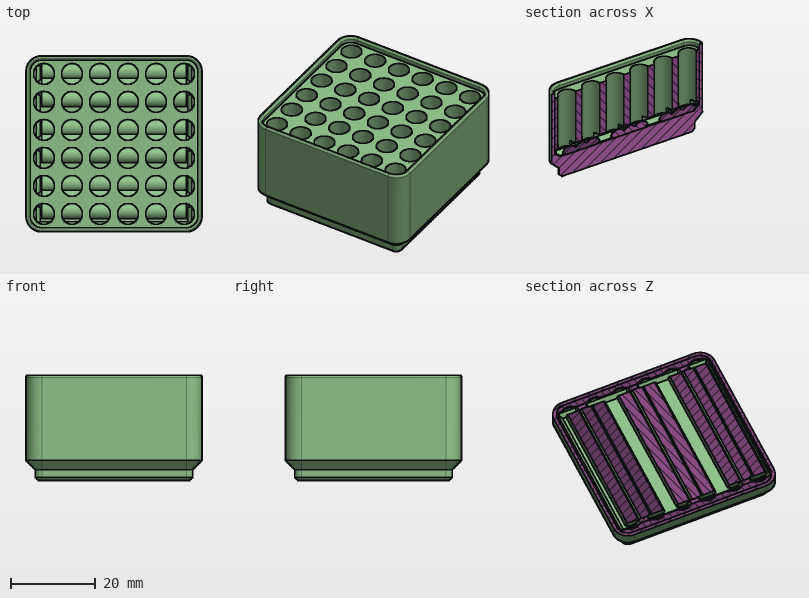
import cadquery as cq
import math

width = 41.5
height = 24.8
corner_radius = 3.75
foot_lower_chamfer = 0.8
foot_wall_height = 1.8
foot_upper_chamfer = 2.15
chamfer_angle = 45.0
foot_height = foot_lower_chamfer + foot_wall_height + foot_upper_chamfer

rim_thickness = 1.0
rim_round = 0.45
rim_depth = 1.5
seat_level = 7.0
seat_width = width - 2 * rim_thickness
seat_corner_radius = corner_radius - rim_thickness

tray_depth = 1.0
tray_floor_length = 34.7
tray_floor_width = 36.7
tray_top_length = tray_floor_length + 2 * tray_depth
tray_top_width = tray_floor_width + 2 * tray_depth
tray_floor_level = seat_level - tray_depth

hole_diameter = 4.9
hole_pitch = 6.6
holes_per_side = 6
relief_depth = 1.33
relief_corner_radius = 0.85
block_top = height - rim_depth

strip_count = holes_per_side // 2
strip_pitch = 2 * hole_pitch
strip_length = 34.1
crown_radius = 2.0
crown_axis_height = 0.1
back_crown_y = 3.8
front_crown_y = -2.57
ridge_y = 0.85
ridge_height = 2.25
back_outer_angle = 73.0
back_inner_angle = 53.0
front_inner_angle = 58.0
front_outer_angle = 56.0
front_skirt_run = 0.25
front_skirt_angle = 60.0

stop_foot_width = 3.65
stop_height = 1.83
stop_side_angle = 65.0


def rounded_square(size, radius, bottom, thickness):
    """Upright square block with rounded vertical edges."""
    block = cq.Workplane("XY").workplane(offset=bottom).rect(size, size).extrude(thickness)
    return block.edges("|Z").fillet(radius)


def strip_centres():
    """Y positions of the strip centres."""
    return [(i - (strip_count - 1) / 2) * strip_pitch for i in range(strip_count)]


def make_outer_block():
    """Square block with rounded corners on a stepped foot with 45 degree chamfers."""
    neck_top = foot_lower_chamfer + foot_wall_height
    neck_width = width - 2 * foot_upper_chamfer
    neck_radius = corner_radius - foot_upper_chamfer
    neck = rounded_square(neck_width, neck_radius, 0, neck_top)
    neck = neck.faces("<Z").chamfer(foot_lower_chamfer)
    neck_outline = neck.faces(">Z").wires().toPending().workplane()
    flare = neck_outline.extrude(foot_upper_chamfer, taper=-chamfer_angle, combine=False)
    upper = rounded_square(width, corner_radius, foot_height, height - foot_height)
    return neck.union(flare).union(upper)


def make_tray_cavity():
    """Rectangular recess that narrows at 45 degrees from the seat to the tray floor."""
    seat = cq.Workplane("XY").workplane(offset=seat_level)
    return seat.rect(tray_top_length, tray_top_width).extrude(-tray_depth, taper=chamfer_angle)


def make_stops():
    """Trapezoid stops between the strip ends and the tray's end slopes."""
    half_foot = stop_foot_width / 2
    half_top = half_foot - stop_height / math.tan(math.radians(stop_side_angle))
    stop_length = (tray_top_length - strip_length) / 2
    side_profile = [
        (-half_foot, 0),
        (half_foot, 0),
        (half_top, stop_height),
        (-half_top, stop_height),
    ]
    stops = []
    for start in (-tray_top_length / 2, strip_length / 2):
        for y in strip_centres():
            stop = (
                cq.Workplane("YZ", origin=(start, y, tray_floor_level))
                .polyline(side_profile)
                .close()
                .extrude(stop_length)
            )
            stops.append(stop)
    return stops


def make_bin():
    """Bin with a rounded rim, a seat for the hole block and a tray for the strips."""
    body = make_outer_block()
    body = body.cut(rounded_square(seat_width, seat_corner_radius, seat_level, height - seat_level))
    body = body.faces(">Z").edges().fillet(rim_round)
    body = body.cut(make_tray_cavity())
    for stop in make_stops():
        body = body.union(stop)
    return body


def make_hole_block():
    """Block with a square grid of through holes and a relief in its underside."""
    block = rounded_square(seat_width, seat_corner_radius, seat_level, block_top - seat_level)
    relief = (
        cq.Workplane("XY")
        .workplane(offset=seat_level)
        .rect(tray_top_length, tray_top_width)
        .extrude(relief_depth)
        .edges("|Z")
        .fillet(relief_corner_radius)
    )
    holes = (
        cq.Workplane("XY")
        .workplane(offset=seat_level)
        .rarray(hole_pitch, hole_pitch, holes_per_side, holes_per_side)
        .circle(hole_diameter / 2)
        .extrude(block_top - seat_level)
    )
    return block.cut(relief).cut(holes)


def crown_point(crown_y, angle):
    """Point of a crown arc; the angle is measured from its top, positive toward +Y."""
    tilt = math.radians(angle)
    return (crown_y + crown_radius * math.sin(tilt), crown_axis_height + crown_radius * math.cos(tilt))


def make_strip(y):
    """Strip along X with two round crowns, a ridge between them and undercut long sides."""
    back_edge = crown_point(back_crown_y, back_outer_angle)
    front_edge = crown_point(front_crown_y, -front_outer_angle)
    skirt_drop = front_skirt_run * math.tan(math.radians(front_skirt_angle))
    skirt_edge = (front_edge[0] - front_skirt_run, front_edge[1] - skirt_drop)
    profile = (
        cq.Workplane("YZ", origin=(-strip_length / 2, y, tray_floor_level))
        .moveTo(back_edge[0] - back_edge[1], 0)
        .lineTo(*back_edge)
        .threePointArc(crown_point(back_crown_y, 0), crown_point(back_crown_y, -back_inner_angle))
        .lineTo(ridge_y, ridge_height)
        .lineTo(*crown_point(front_crown_y, front_inner_angle))
        .threePointArc(crown_point(front_crown_y, 0), front_edge)
        .lineTo(*skirt_edge)
        .lineTo(skirt_edge[0] + skirt_edge[1], 0)
        .close()
    )
    return profile.extrude(strip_length)


bin_body = make_bin()
hole_block = make_hole_block()
strips = [make_strip(y) for y in strip_centres()]

result = cq.Compound.makeCompound([
    bin_body.val(),
    hole_block.val(),
    *[strip.val() for strip in strips],
])